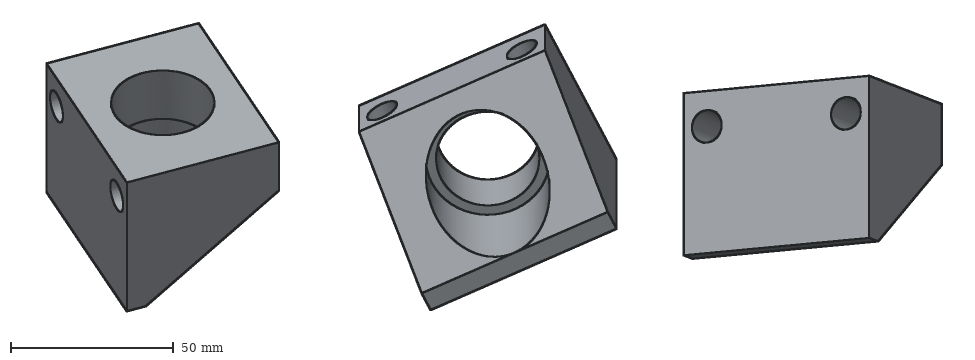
import cadquery as cq

width = 63.5
depth = 50.8
height = 50.8
back_height = 19.05
foot_depth = 6.35

bore_diameter = 31.75
counterbore_diameter = 38.1
bore_land_height = 19.05

mount_hole_diameter = 10.15
mount_hole_spacing = 47.6
mount_hole_drop = 11.1

front = -depth / 2
back = depth / 2


def make_block():
    """Extrude the side outline with its sloping underside across the width."""
    outline = [
        (front, 0),
        (front + foot_depth, 0),
        (back, height - back_height),
        (back, height),
        (front, height),
    ]
    return cq.Workplane("YZ").polyline(outline).close().extrude(width / 2, both=True)


def make_bore():
    """Through bore, widened from below up to the land under the top face."""
    through_bore = cq.Workplane("XY").circle(bore_diameter / 2).extrude(height)
    counterbore = cq.Workplane("XY").circle(counterbore_diameter / 2).extrude(height - bore_land_height)
    return through_bore.union(counterbore)


def make_mount_holes():
    centre_height = height - mount_hole_drop
    return (
        cq.Workplane("XZ", origin=(0, back, 0))
        .pushPoints([(side * mount_hole_spacing / 2, centre_height) for side in (-1, 1)])
        .circle(mount_hole_diameter / 2)
        .extrude(depth)
    )


result = make_block().cut(make_bore()).cut(make_mount_holes())